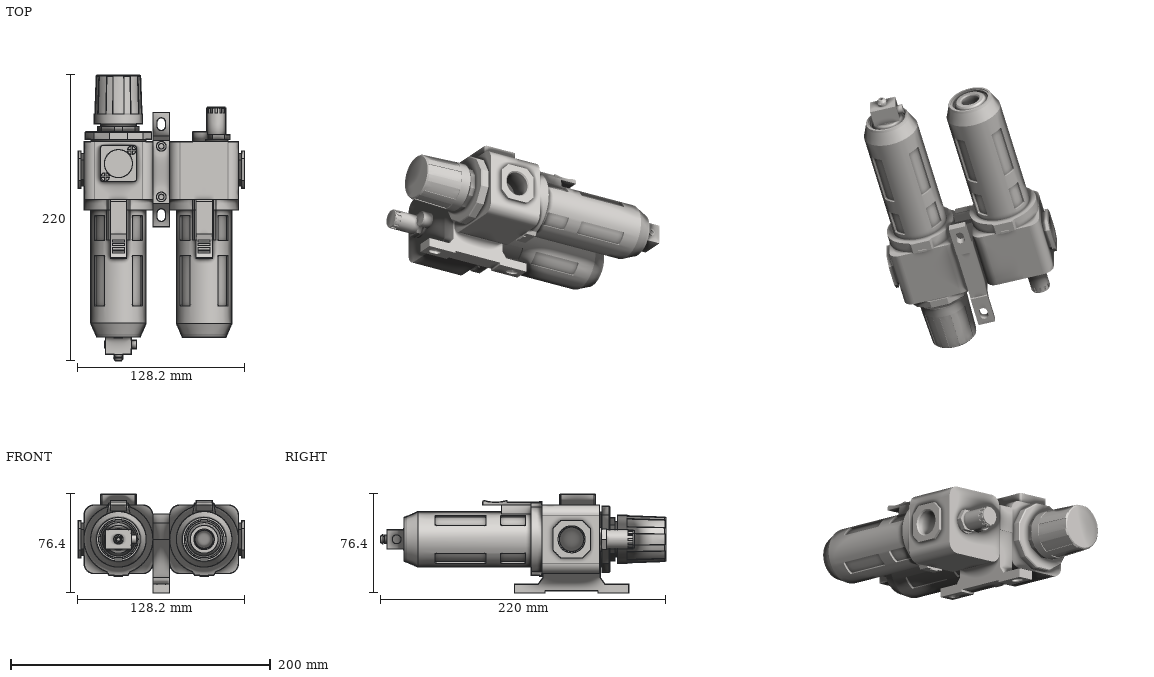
import cadquery as cq
import math

block_width = 53.0
block_top = 21.5
block_bottom = -22.9
block_corner = 8.0
half_block = block_width / 2
bracket_width = 13.0
unit_spacing = block_width + bracket_width
overlap = 0.5

collar_radius = half_block
collar_bottom = -31.1
bowl_radius = 21.4
bowl_rim_radius = 16.8
bowl_taper_radius = 17.4
bowl_taper_length = 9.1
bowl_rim_length = 1.7
filter_bowl_end = -129.0
lubricator_bowl_end = -129.2
window_depth = 1.8
window_width = 11.0
window_corner = 1.0
window_angles = (45, 135, 225, 315)
window_spans = [(-35.4, -54.6), (-66.0, -105.0)]
bowl_groove_depth = 3.0
bowl_groove_radii = (11.6, 14.2)
bowl_groove_root_radius = 12.8
bowl_step_radius = 15.3
bowl_step_depth = 0.8
boss_edge = 0.9
bowl_bore_diameter = 14.0
bowl_bore_depth = 12.0
bowl_bore_edge = 0.9

latch_half_top = 7.4
latch_half_base = 9.0
latch_base_height = math.sqrt(bowl_radius**2 - latch_half_base**2)
latch_channel_depth = 3.0
latch_channel_floor = 21.8
latch_height = 26.6
latch_end = -54.0
collar_tab_height = 27.8
collar_tab_shoulder = 24.9
collar_tab_base = 20.0
lip_length = 1.7
lip_half_width = 3.3
lower_lip_height = 28.6
button_width = 12.5
button_top = 28.7
button_bottom = 26.3
button_lip_top = 29.0
grip_start = -49.6
grip_end = -68.6
grip_top = 29.9
grip_dish = 1.3
grip_edge = 1.1
grip_slot_positions = [-54.9, -57.6, -60.9, -63.5]
grip_slot_length = 9.2
grip_slot_width = 1.6
grip_slot_floor = 28.0

port_width = 28.8
port_chamfer = 6.0
port_flange_thickness = 2.3
port_length = 4.6
port_neck_width = 25.2
port_neck_chamfer = 5.0
port_bore_radius = 9.4
port_bore_edge = 1.0
port_bore_depth = 20.0

gauge_width = 27.7
gauge_y = 4.65
gauge_height = 34.5
gauge_corner = 1.2
gauge_dial_radius = 10.8
gauge_dial_rise = 0.3
gauge_screw_diameter = 6.4
gauge_screw_offset = 10.2
gauge_screw_top = 35.0
gauge_screw_slot = 1.2

seat_radius = 21.2
panel_nut_start = 23.3
panel_nut_end = 29.5
panel_nut_sides = 12
panel_nut_diameter = 53.0
panel_nut_edge = 0.7
bonnet_end = 33.3
bonnet_flats = 32.0
bonnet_corner_flats = 33.4
neck_radius = 13.8
knob_start = 35.3
knob_ring_end = 42.8
knob_top = 72.8
knob_ring_radius = 18.7
knob_tip_radius = 17.6
knob_edge = 1.2
knob_grooves = 8
knob_groove_angle = 27.6
knob_groove_depth = 0.5

drain_stem_radius = 8.2
drain_width = 20.0
drain_height = 15.0
drain_bottom = -142.2
drain_button_y = -134.7
drain_button_diameter = 6.8
drain_button_length = 4.1
drain_pin_diameter = 5.5
drain_pin_length = 0.8
drain_pin_hole = 3.0
drain_tip_end = -147.2
drain_tip_radius = 3.4
drain_ring_radius = 3.7
drain_tip_groove_radius = 2.4
drain_tip_groove_width = 1.0
drain_tip_shank = 2.0
drain_tip_hole = 3.0
drain_tip_hole_depth = 2.0

sight_x = 9.3
sight_diameter = 14.8
sight_top = 48.3
sight_rim_length = 1.0
sight_rim_radius = 6.8
sight_slots = 12
sight_slot_end = 43.5
sight_slot_width = 1.6
sight_slot_depth = 1.0
sight_nut_x = 11.0
sight_nut_diameter = 18.0
sight_nut_start = 23.2
sight_nut_end = 27.0
sight_seat_diameter = 18.4
plug_x = -2.8
plug_diameter = 12.0
plug_top = 29.5
plug_edge = 0.5

foot_half_length = 44.1
foot_bottom = -41.4
foot_top = -34.6
relief_half_length = 20.3
relief_depth = 1.7
web_half_length = 22.2
slope_half_length = 25.8
slope_top = -29.6
clamp_back = 22.6
clamp_front = -25.7
clamp_plate_bottom = 12.7
clamp_plate_overhang = 0.4
clamp_top = 19.6
foot_slot_y = 35.0
foot_slot_length = 9.6
foot_slot_width = 6.4
clamp_screw_positions = [18.0, -21.0]
screw_counterbore = 7.4
screw_counterbore_depth = 0.6
screw_socket = 4.2
screw_socket_depth = 1.2


def lathe(points):
    """Solid turned about the Y axis from (radius, y) points."""
    return cq.Workplane("XY").polyline(points).close().revolve(360, (0, 0), (0, 1))


def along_y(y_start, y_end):
    """Sketch plane at y_start and the signed extrusion length up to y_end."""
    return cq.Workplane("XZ", origin=(0, y_start, 0)), y_start - y_end


def cylinder_y(radius, y_start, y_end, x=0.0):
    plane, length = along_y(y_start, y_end)
    return plane.center(x, 0).circle(radius).extrude(length)


def prism_y(points, y_start, y_end):
    plane, length = along_y(y_start, y_end)
    return plane.polyline(points).close().extrude(length)


def polygon_y(sides, diameter, y_start, y_end, turn=0.0):
    """Regular prism along Y, its corners on a circle of the given diameter."""
    plane, length = along_y(y_start, y_end)
    prism = plane.polygon(sides, diameter).extrude(length)
    return prism.rotate((0, 0, 0), (0, 1, 0), turn)


def box_between(x_range, y_range, z_range):
    size = [end - start for start, end in (x_range, y_range, z_range)]
    return cq.Workplane("XY").box(*size, centered=False).translate((x_range[0], y_range[0], z_range[0]))


def block(y_start, y_end):
    plane, length = along_y(y_start, y_end)
    return plane.rect(block_width, block_width).extrude(length).edges("|Y").fillet(block_corner)


def collar():
    """Round collar as wide as the block, with a tapered tab above and below."""
    ring = cylinder_y(collar_radius, block_bottom, collar_bottom)
    for side in (1, -1):
        tab = [
            (-latch_half_base, side * collar_tab_base),
            (latch_half_base, side * collar_tab_base),
            (latch_half_base, side * collar_tab_shoulder),
            (latch_half_top, side * collar_tab_height),
            (-latch_half_top, side * collar_tab_height),
            (-latch_half_base, side * collar_tab_shoulder),
        ]
        ring = ring.union(prism_y(tab, block_bottom, collar_bottom))
    lip = box_between(
        (-lip_half_width, lip_half_width),
        (block_bottom - lip_length, block_bottom),
        (-lower_lip_height, -collar_radius),
    )
    return ring.union(lip)


def window_cutter(angle):
    """Curved-floor window pockets along the bowl, centred at the given angle from +X."""
    pockets = cq.Workplane("XY")
    for start, end in window_spans:
        pocket = (
            cq.Workplane("XY")
            .center(0, (start + end) / 2)
            .rect(window_width, start - end)
            .extrude(bowl_radius + overlap)
            .edges("|Z")
            .fillet(window_corner)
        )
        pockets = pockets.add(pocket.cut(cylinder_y(bowl_radius - window_depth, start, end)))
    return pockets.combine().rotate((0, 0, 0), (0, 1, 0), 90 - angle)


def bowl(end, bored):
    """Tapered bowl with four rows of windows and a ringed end face."""
    taper_end = end + bowl_rim_length
    taper_start = taper_end + bowl_taper_length
    groove_inner, groove_outer = bowl_groove_radii
    shell = lathe([
        (0, collar_bottom + overlap),
        (bowl_radius, collar_bottom + overlap),
        (bowl_radius, taper_start),
        (bowl_taper_radius, taper_end),
        (bowl_rim_radius, end),
        (bowl_step_radius, end),
        (bowl_step_radius, end + bowl_step_depth),
        (groove_outer, end + bowl_step_depth),
        (groove_outer, end + bowl_groove_depth),
        (bowl_groove_root_radius, end + bowl_groove_depth),
        (groove_inner, end + boss_edge),
        (groove_inner - boss_edge, end),
        (0, end),
    ])
    for angle in window_angles:
        shell = shell.cut(window_cutter(angle))
    if bored:
        bore_radius = bowl_bore_diameter / 2
        shell = shell.cut(lathe([
            (0, end),
            (bore_radius + bowl_bore_edge, end),
            (bore_radius, end + bowl_bore_edge),
            (bore_radius, end + bowl_bore_depth),
            (0, end + bowl_bore_depth),
        ]))
    return shell


def latch():
    """Bowl release latch: tapered housing, flat push plate and dished, slotted grip."""
    housing = prism_y(
        [
            (-latch_half_base, latch_base_height),
            (latch_half_base, latch_base_height),
            (latch_half_top, latch_height),
            (-latch_half_top, latch_height),
        ],
        block_bottom,
        latch_end,
    )
    half_button = button_width / 2
    channel = box_between(
        (-half_button, half_button),
        (latch_end, latch_end + latch_channel_depth),
        (latch_channel_floor, latch_height),
    )
    housing = housing.cut(channel)
    lip_end = block_bottom - lip_length
    dish_end = grip_end + grip_edge
    button = (
        cq.Workplane("YZ", origin=(-half_button, 0, 0))
        .moveTo(block_bottom, button_bottom)
        .lineTo(block_bottom, button_lip_top)
        .lineTo(lip_end, button_lip_top)
        .lineTo(lip_end, button_top)
        .lineTo(grip_start, button_top)
        .lineTo(grip_start, grip_top)
        .threePointArc(((grip_start + dish_end) / 2, grip_top - grip_dish), (dish_end, grip_top))
        .lineTo(grip_end, grip_top - grip_edge)
        .lineTo(grip_end, button_bottom)
        .close()
        .extrude(button_width)
    )
    slots = (
        cq.Workplane("XY", origin=(0, 0, grip_slot_floor))
        .pushPoints([(0, y) for y in grip_slot_positions])
        .rect(grip_slot_length, grip_slot_width)
        .extrude(grip_top - grip_slot_floor)
    )
    return housing.union(button.cut(slots))


def port_plate(width, chamfer, x_start, thickness):
    plate = cq.Workplane("YZ", origin=(x_start, 0, 0)).rect(width, width).extrude(thickness)
    return plate.edges("|X").chamfer(chamfer)


def port_flange(side):
    """Necked flange on the outer wall; side is +1 for +X and -1 for -X."""
    tip = half_block + port_length
    neck = port_plate(port_neck_width, port_neck_chamfer, half_block - overlap, port_length)
    flange = port_plate(port_width, port_chamfer, tip - port_flange_thickness, port_flange_thickness)
    solid = neck.union(flange)
    return solid if side > 0 else solid.mirror("YZ")


def port_bore(side):
    """Cutter for the blind port with its chamfered mouth."""
    tip = half_block + port_length
    bore = (
        cq.Workplane("XY")
        .polyline([
            (tip, 0),
            (tip, port_bore_radius + port_bore_edge),
            (tip - port_bore_edge, port_bore_radius),
            (tip - port_bore_depth, port_bore_radius),
            (tip - port_bore_depth, 0),
        ])
        .close()
        .revolve(360, (0, 0), (1, 0))
    )
    return bore if side > 0 else bore.mirror("YZ")


def unit(side, bowl_end, bored):
    """Block, collar, bowl, latch and the outward port that both units share."""
    solid = block(block_top, block_bottom).union(collar())
    solid = solid.union(bowl(bowl_end, bored)).union(latch())
    return solid.union(port_flange(side)).cut(port_bore(side))


def gauge():
    base = half_block - overlap
    case = (
        cq.Workplane("XY", origin=(0, gauge_y, base))
        .rect(gauge_width, gauge_width)
        .extrude(gauge_height - base)
        .edges("|Z")
        .chamfer(gauge_corner)
    )
    face = cq.Workplane("XY", origin=(0, gauge_y, gauge_height - overlap))
    case = case.union(face.circle(gauge_dial_radius).extrude(overlap + gauge_dial_rise))
    corners = [(gauge_screw_offset, gauge_screw_offset), (-gauge_screw_offset, -gauge_screw_offset)]
    heads = face.pushPoints(corners).circle(gauge_screw_diameter / 2)
    case = case.union(heads.extrude(overlap + gauge_screw_top - gauge_height))
    top = cq.Workplane("XY", origin=(0, gauge_y, gauge_height)).pushPoints(corners)
    for length, width in (
        (gauge_screw_diameter, gauge_screw_slot),
        (gauge_screw_slot, gauge_screw_diameter),
    ):
        case = case.cut(top.rect(length, width).extrude(gauge_screw_top - gauge_height))
    return case


def knob():
    """Conical knob with shallow grip grooves above a plain ring."""
    def cone(inset, start, end):
        slope = (knob_ring_radius - knob_tip_radius) / (knob_top - knob_ring_end)
        wide = knob_ring_radius - slope * (start - knob_ring_end) - inset
        narrow = knob_ring_radius - slope * (end - knob_ring_end) - inset
        return lathe([(0, start), (wide, start), (narrow, end), (0, end)])

    ring = cylinder_y(knob_ring_radius, knob_start, knob_ring_end)
    grip = cone(0, knob_ring_end, knob_top).faces(">Y").chamfer(knob_edge)
    reach = 2 * knob_ring_radius
    half_angle = math.radians(knob_groove_angle / 2)
    wedge = [
        (0, 0),
        (reach * math.cos(half_angle), reach * math.sin(half_angle)),
        (reach * math.cos(half_angle), -reach * math.sin(half_angle)),
    ]
    groove = prism_y(wedge, knob_ring_end, knob_top)
    groove = groove.cut(cone(knob_groove_depth, knob_ring_end, knob_top))
    for index in range(knob_grooves):
        grip = grip.cut(groove.rotate((0, 0, 0), (0, 1, 0), index * 360 / knob_grooves))
    return ring.union(grip)


def regulator_top():
    seat = cylinder_y(seat_radius, block_top - overlap, panel_nut_start)
    half_side_turn = 180 / panel_nut_sides
    panel_nut = polygon_y(
        panel_nut_sides, panel_nut_diameter, panel_nut_start, panel_nut_end, half_side_turn
    )
    panel_nut = panel_nut.faces(">Y").chamfer(panel_nut_edge)
    hex_ratio = 1 / math.cos(math.pi / 6)
    bonnet = polygon_y(6, bonnet_flats * hex_ratio, panel_nut_end, bonnet_end, 30)
    bonnet = bonnet.intersect(polygon_y(6, bonnet_corner_flats * hex_ratio, panel_nut_end, bonnet_end))
    neck = cylinder_y(neck_radius, bonnet_end, knob_start)
    return seat.union(panel_nut).union(bonnet).union(neck).union(knob())


def drain():
    """Square drain valve with side button, opposite pin and a barbed tip."""
    stem = cylinder_y(drain_stem_radius, filter_bowl_end + overlap, filter_bowl_end - overlap)
    half_width = drain_width / 2
    body = box_between(
        (-half_width, half_width), (drain_bottom, filter_bowl_end), (-drain_height / 2, drain_height / 2)
    )
    side_plane = cq.Workplane("YZ", origin=(0, drain_button_y, 0))
    button = side_plane.circle(drain_button_diameter / 2).extrude(half_width + drain_button_length)
    pin = side_plane.circle(drain_pin_diameter / 2).extrude(-half_width - drain_pin_length)
    hole = (
        cq.Workplane("YZ", origin=(-half_width, drain_button_y, 0))
        .circle(drain_pin_hole / 2)
        .extrude(-drain_pin_length)
    )
    groove_start = drain_bottom - drain_tip_shank
    ring_start = groove_start - drain_tip_groove_width
    tip = lathe([
        (0, drain_bottom + overlap),
        (drain_tip_radius, drain_bottom + overlap),
        (drain_tip_radius, groove_start),
        (drain_tip_groove_radius, groove_start),
        (drain_tip_groove_radius, ring_start),
        (drain_ring_radius, ring_start),
        (drain_tip_groove_radius, drain_tip_end),
        (0, drain_tip_end),
    ])
    tip = tip.cut(cylinder_y(drain_tip_hole / 2, drain_tip_end, drain_tip_end + drain_tip_hole_depth))
    return stem.union(body).union(button).union(pin).cut(hole).union(tip)


def build_filter_regulator():
    solid = unit(-1, filter_bowl_end, bored=False)
    return solid.union(gauge()).union(regulator_top()).union(drain())


def sight_dome():
    radius = sight_diameter / 2
    seat = cylinder_y(sight_seat_diameter / 2, block_top - overlap, sight_nut_start)
    nut = polygon_y(6, sight_nut_diameter, sight_nut_start, sight_nut_end)
    rim_start = sight_top - sight_rim_length
    dome = cylinder_y(radius, sight_nut_end, rim_start)
    slot = box_between(
        (radius - sight_slot_depth, radius + overlap),
        (sight_slot_end, rim_start),
        (-sight_slot_width / 2, sight_slot_width / 2),
    )
    for index in range(sight_slots):
        dome = dome.cut(slot.rotate((0, 0, 0), (0, 1, 0), index * 360 / sight_slots))
    rim = cylinder_y(sight_rim_radius, rim_start, sight_top)
    nut = nut.translate((sight_nut_x - sight_x, 0, 0))
    return seat.union(nut).union(dome).union(rim).translate((sight_x, 0, 0))


def fill_plug():
    plug = cylinder_y(plug_diameter / 2, block_top - overlap, plug_top, plug_x)
    return plug.faces(">Y").chamfer(plug_edge)


def build_lubricator():
    solid = unit(1, lubricator_bowl_end, bored=True)
    solid = solid.union(sight_dome()).union(fill_plug())
    return solid.translate((unit_spacing, 0, 0))


def build_bracket():
    """Foot, web and clamp in one profile, filling the space between the two blocks."""
    relief_top = foot_bottom + relief_depth
    plate_front = clamp_front - clamp_plate_overhang
    profile = [
        (foot_half_length, foot_bottom),
        (foot_half_length, foot_top),
        (slope_half_length, foot_top),
        (web_half_length, slope_top),
        (web_half_length, 0),
        (clamp_back, 0),
        (clamp_back, clamp_top),
        (plate_front, clamp_top),
        (plate_front, clamp_plate_bottom),
        (clamp_front, clamp_plate_bottom),
        (clamp_front, 0),
        (-web_half_length, 0),
        (-web_half_length, slope_top),
        (-slope_half_length, foot_top),
        (-foot_half_length, foot_top),
        (-foot_half_length, foot_bottom),
        (-relief_half_length, foot_bottom),
        (-relief_half_length, relief_top),
        (relief_half_length, relief_top),
        (relief_half_length, foot_bottom),
    ]
    solid = cq.Workplane("YZ", origin=(half_block, 0, 0)).polyline(profile).close().extrude(bracket_width)
    centre_x = unit_spacing / 2
    slots = (
        cq.Workplane("XY", origin=(centre_x, 0, foot_bottom))
        .pushPoints([(0, foot_slot_y), (0, -foot_slot_y)])
        .slot2D(foot_slot_length, foot_slot_width, 90)
        .extrude(foot_top - foot_bottom)
    )
    screws = (
        cq.Workplane("XY", origin=(centre_x, 0, clamp_top))
        .pushPoints([(0, y) for y in clamp_screw_positions])
    )
    counterbores = screws.circle(screw_counterbore / 2).extrude(-screw_counterbore_depth)
    sockets = screws.circle(screw_socket / 2).extrude(-screw_socket_depth)
    return solid.cut(slots).cut(counterbores).cut(sockets)


filter_regulator = build_filter_regulator()
lubricator = build_lubricator()
bracket = build_bracket()

result = cq.Compound.makeCompound([filter_regulator.val(), lubricator.val(), bracket.val()])